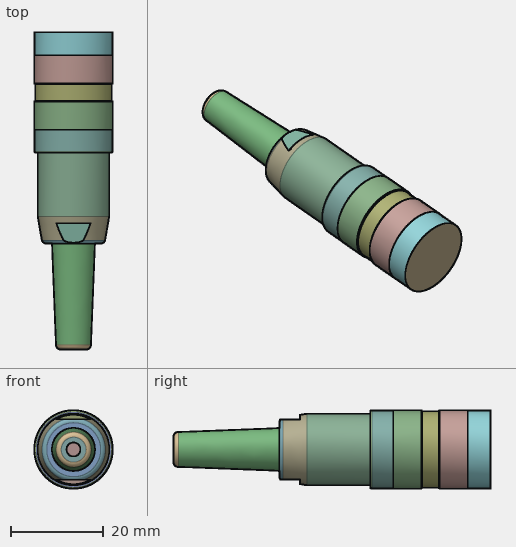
import cadquery as cq

total_length = 68.5

sleeve_length = 26.0
sleeve_radius = 16.9 / 2
sleeve_round = 0.35
band_radius = 17.0 / 2
band_margin = 5.0
groove_radius = 16.6 / 2
groove_width = 3.55
groove_bevel = 0.2
groove_center = sleeve_length / 2

body_radius = 15.5 / 2
body_end = 39.7
nut_end = 45.6
nut_end_radius = 13.7 / 2
nut_round_length = 0.75
nut_round_depth = 1.0

flat_start = 41.2
flat_spacing = 13.0

stem_base_radius = 9.3 / 2
stem_tip_radius = 7.6 / 2
stem_round = 1.1
bore_diameter = 3.0
bore_depth = 2.05


def make_turned_body():
    """Revolve the half outline; sketch X is the radius and sketch Y is the axis."""
    groove_start = groove_center - groove_width / 2
    groove_end = groove_center + groove_width / 2
    outline = (
        cq.Workplane("XY")
        .lineTo(sleeve_radius, 0)
        .lineTo(sleeve_radius, -band_margin)
        .lineTo(band_radius, -band_margin)
        .lineTo(band_radius, -(groove_start - groove_bevel))
        .lineTo(groove_radius, -groove_start)
        .lineTo(groove_radius, -groove_end)
        .lineTo(band_radius, -(groove_end + groove_bevel))
        .lineTo(band_radius, -(sleeve_length - band_margin))
        .lineTo(sleeve_radius, -(sleeve_length - band_margin))
        .lineTo(sleeve_radius, -(sleeve_length - sleeve_round))
        .radiusArc((sleeve_radius - sleeve_round, -sleeve_length), sleeve_round)
        .lineTo(body_radius, -sleeve_length)
        .lineTo(body_radius, -body_end)
        .lineTo(nut_end_radius, -(nut_end - nut_round_length))
        .radiusArc((nut_end_radius - nut_round_depth, -nut_end), nut_round_depth)
        .lineTo(stem_base_radius, -nut_end)
        .lineTo(stem_tip_radius, -(total_length - stem_round))
        .radiusArc((stem_tip_radius - stem_round, -total_length), stem_round)
        .lineTo(0, -total_length)
        .close()
    )
    return outline.revolve(360, (0, 0, 0), (0, 1, 0))


def make_flat_cutter(side):
    """Block that leaves one wrench flat; side is +1 for the top, -1 for the bottom."""
    block_height = body_radius
    block_length = nut_end - flat_start
    center_y = -(flat_start + nut_end) / 2
    center_z = side * (flat_spacing + block_height) / 2
    block = cq.Workplane("XY").box(2 * body_radius, block_length, block_height)
    return block.translate((0, center_y, center_z))


def make_bore():
    """Blind bore entering the tip along the axis."""
    tip_plane = cq.Workplane("XZ", origin=(0, -total_length, 0))
    return tip_plane.circle(bore_diameter / 2).extrude(-bore_depth)


result = make_turned_body()
for side in (1, -1):
    result = result.cut(make_flat_cutter(side))
result = result.cut(make_bore())